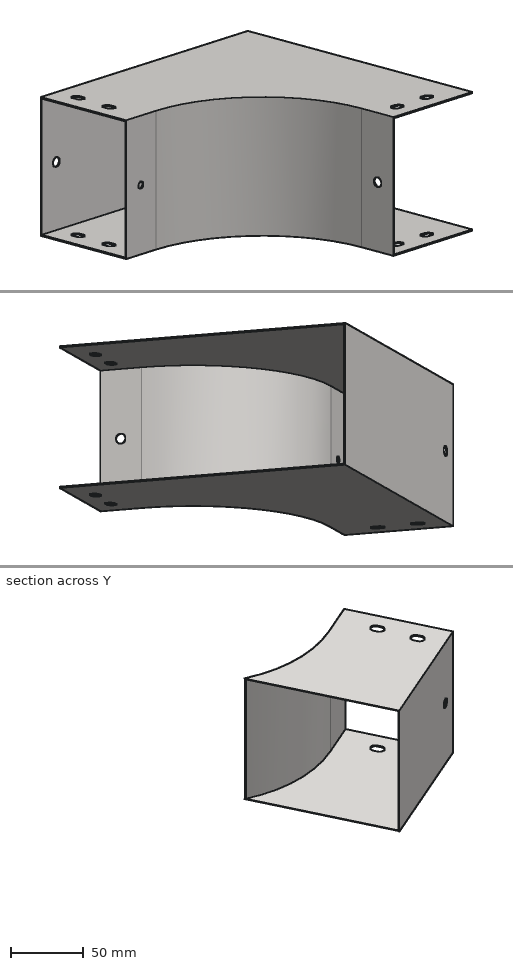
import cadquery as cq

SIDE = 210.0
HEIGHT = 100.0
CHANNEL_WIDTH = 80.0
BEND_RADIUS = 100.0
WALL = 1.0

HOLE_DIAMETER = 7.0
SMALL_HOLE_DIAMETER = 5.0
END_DISTANCE = 15.0
OFFSET_SLOT_END_DISTANCE = 16.4

SLOT_LENGTH = 10.0
SLOT_WIDTH = 7.0
SLOT_PITCH = 30.0
FRONT_SLOT_X = 20.0
SIDE_SLOT_DEPTH = 30.0

CUT_MARGIN = 2.0


def elbow(inset, overrun, bottom, height):
    """Solid elbow with its walls moved in by inset and its open sides extended by overrun."""
    far_end = SIDE + overrun
    inner_face = CHANNEL_WIDTH - inset
    bend_start = CHANNEL_WIDTH + BEND_RADIUS
    radius = BEND_RADIUS + inset
    return (
        cq.Workplane("XY", origin=(0, 0, bottom))
        .moveTo(inset, overrun)
        .lineTo(far_end, overrun)
        .lineTo(far_end, -inner_face)
        .lineTo(bend_start, -inner_face)
        .radiusArc((inner_face, -bend_start), -radius)
        .lineTo(inner_face, -far_end)
        .lineTo(inset, -far_end)
        .close()
        .extrude(height)
    )


def slot_cutter(x, y, angle):
    """Slot running through both the top and bottom plates."""
    return (
        cq.Workplane("XY", origin=(x, y, -CUT_MARGIN))
        .slot2D(SLOT_LENGTH, SLOT_WIDTH, angle)
        .extrude(HEIGHT + 2 * CUT_MARGIN)
    )


def hole_cutter(start, direction, diameter, length):
    """Round cutter from start along direction."""
    return cq.Workplane(
        cq.Solid.makeCylinder(diameter / 2, length, cq.Vector(*start), cq.Vector(*direction))
    )


part = elbow(0, 0, 0, HEIGHT).cut(elbow(WALL, CUT_MARGIN, WALL, HEIGHT - 2 * WALL))

end_position = SIDE - END_DISTANCE
part = part.cut(slot_cutter(FRONT_SLOT_X, -(SIDE - OFFSET_SLOT_END_DISTANCE), 0))
part = part.cut(slot_cutter(FRONT_SLOT_X + SLOT_PITCH, -end_position, 0))
for slot_depth in (SIDE_SLOT_DEPTH, SIDE_SLOT_DEPTH + SLOT_PITCH):
    part = part.cut(slot_cutter(end_position, -slot_depth, 90))

mid_height = HEIGHT / 2
mid_channel = CHANNEL_WIDTH / 2
half_length = mid_channel + CUT_MARGIN

side_leg_centre = (end_position, -mid_channel, mid_height)
part = part.cut(hole_cutter(side_leg_centre, (0, -1, 0), HOLE_DIAMETER, half_length))
front_leg_centre = (mid_channel, -end_position, mid_height)
part = part.cut(hole_cutter(front_leg_centre, (-1, 0, 0), HOLE_DIAMETER, half_length))
part = part.cut(hole_cutter(front_leg_centre, (1, 0, 0), SMALL_HOLE_DIAMETER, half_length))

result = part